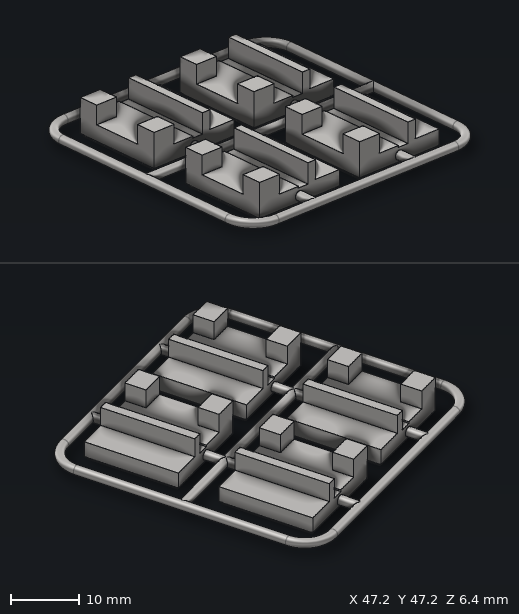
import cadquery as cq

FRAME_SIZE = 47.2
ROD_DIAMETER = 1.6
ROD_HEIGHT = 1.6
CORNER_RADIUS = 4.8

BLOCK_SIZE = 16.0
BLOCK_HEIGHT = 6.4
FOOT_HEIGHT = 0.5
FOOT_INSET = 0.4

SHELF_HEIGHT = 3.2
SHELF_DEPTH = 4.8
WALL_THICKNESS = 1.5
GROOVE_WIDTH = 1.9
GROOVE_DEPTH = 0.3
POST_DEPTH = 4.0
POST_WIDTH = 3.6

ROW_PITCH = 20.0
AXIS_HALF = (FRAME_SIZE - ROD_DIAMETER) / 2
COLUMN_OFFSET = AXIS_HALF / 2
COLUMNS = (-COLUMN_OFFSET, COLUMN_OFFSET)
ROWS = (-ROW_PITCH / 2, ROW_PITCH / 2)


def make_block(x, y):
    """One block: stepped profile run along X, two front posts and an inset foot."""
    front = -BLOCK_SIZE / 2
    back = BLOCK_SIZE / 2
    wall_back = back - SHELF_DEPTH
    wall_front = wall_back - WALL_THICKNESS
    groove_front = wall_front - GROOVE_WIDTH
    groove_floor = SHELF_HEIGHT - GROOVE_DEPTH

    body = (
        cq.Workplane("YZ")
        .moveTo(front, FOOT_HEIGHT)
        .lineTo(back, FOOT_HEIGHT)
        .lineTo(back, SHELF_HEIGHT)
        .lineTo(wall_back, SHELF_HEIGHT)
        .lineTo(wall_back, BLOCK_HEIGHT)
        .lineTo(wall_front, BLOCK_HEIGHT)
        .lineTo(wall_front, groove_floor)
        .lineTo(groove_front, groove_floor)
        .lineTo(groove_front, SHELF_HEIGHT)
        .lineTo(front, SHELF_HEIGHT)
        .close()
        .extrude(BLOCK_SIZE / 2, both=True)
    )

    post_x = (BLOCK_SIZE - POST_WIDTH) / 2
    posts = (
        cq.Workplane("XY", origin=(0, front + POST_DEPTH / 2, SHELF_HEIGHT))
        .pushPoints([(-post_x, 0), (post_x, 0)])
        .rect(POST_WIDTH, POST_DEPTH)
        .extrude(BLOCK_HEIGHT - SHELF_HEIGHT)
    )

    foot_size = BLOCK_SIZE - 2 * FOOT_INSET
    foot = (
        cq.Workplane("XY")
        .rect(foot_size, foot_size)
        .extrude(FOOT_HEIGHT)
    )
    return body.union(posts).union(foot).translate((x, y, 0))


def make_rod(plane, origin, length):
    """Straight rod centred on origin, along the normal of the plane."""
    start = cq.Workplane(plane, origin=origin).workplane(offset=-length / 2)
    return start.circle(ROD_DIAMETER / 2).extrude(length)


def make_corner():
    """Quarter bend of the rod at the +X +Y corner of the frame."""
    bend_centre = AXIS_HALF - CORNER_RADIUS
    return (
        cq.Workplane("XZ", origin=(bend_centre, bend_centre, ROD_HEIGHT))
        .center(CORNER_RADIUS, 0)
        .circle(ROD_DIAMETER / 2)
        .revolve(90, (-CORNER_RADIUS, 0), (-CORNER_RADIUS, 1))
    )


def make_frame():
    """Rounded square loop, a spine along Y and short runners that end on the block sides."""
    side_length = 2 * (AXIS_HALF - CORNER_RADIUS)
    runner_length = COLUMN_OFFSET - BLOCK_SIZE / 2

    frame = make_rod("XZ", (0, 0, ROD_HEIGHT), 2 * AXIS_HALF)

    side = make_rod("XZ", (AXIS_HALF, 0, ROD_HEIGHT), side_length)
    corner = make_corner()
    for quarter in range(4):
        for piece in (side, corner):
            frame = frame.union(piece.rotate((0, 0, 0), (0, 0, 1), 90 * quarter))

    for y in ROWS:
        frame = frame.union(make_rod("YZ", (0, y, ROD_HEIGHT), 2 * runner_length))
        for side_sign in (-1, 1):
            x = side_sign * (AXIS_HALF - runner_length / 2)
            frame = frame.union(make_rod("YZ", (x, y, ROD_HEIGHT), runner_length))
    return frame


frame = make_frame()
blocks = [make_block(x, y) for x in COLUMNS for y in ROWS]

result = cq.Compound.makeCompound([frame.solids().val(), *[block.solids().val() for block in blocks]])